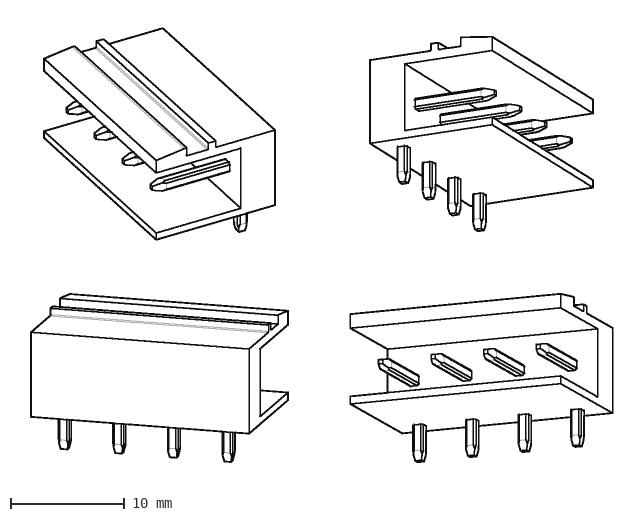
import cadquery as cq


pin_count = 4
pin_pitch = 5.0

housing_length = pin_count * pin_pitch
housing_depth = 12.0
floor_thickness = 0.7
ceiling_height = 6.85
roof_height = 7.7
cavity_depth = 8.55

lip_height = 8.5
lip_front_height = 8.13
lip_depth = 3.1
lip_crest_width = 0.25

rib_front = 5.27
rib_width = 0.75
rib_height = 8.35
rib_root_radius = 0.1

pin_width = 1.0
pin_corner_diameter = 1.18
contact_height = 3.8
contact_tip_y = 0.93
contact_taper_length = 1.2
contact_tip_width = 0.4
tail_y = 9.91
tail_length = 3.2
tail_taper_length = 0.9
tail_tip_width = 0.6


def make_housing():
    rib_back = rib_front + rib_width
    profile = (
        cq.Workplane("YZ")
        .moveTo(0, 0)
        .lineTo(housing_depth, 0)
        .lineTo(housing_depth, roof_height)
        .lineTo(rib_back, roof_height)
        .lineTo(rib_back, rib_height)
        .lineTo(rib_front, rib_height)
        .lineTo(rib_front, roof_height)
        .lineTo(lip_depth, roof_height)
        .lineTo(lip_depth, lip_height)
        .lineTo(lip_depth - lip_crest_width, lip_height)
        .lineTo(0, lip_front_height)
        .lineTo(0, ceiling_height)
        .lineTo(cavity_depth, ceiling_height)
        .lineTo(cavity_depth, floor_thickness)
        .lineTo(0, floor_thickness)
        .close()
    )
    body = profile.extrude(housing_length)
    rib_roots = cq.selectors.BoxSelector(
        (0, rib_front - rib_root_radius, roof_height - rib_root_radius),
        (housing_length, rib_back + rib_root_radius, roof_height + rib_root_radius),
    )
    return body.edges("|X").edges(rib_roots).fillet(rib_root_radius)


def tip_envelope(plane, taper_length, tip_width, full_length):
    """Square pyramid frustum growing from the tip to the full pin width, then a straight bar."""
    taper = (
        cq.Workplane(plane)
        .rect(tip_width, tip_width)
        .workplane(offset=taper_length)
        .rect(pin_width, pin_width)
        .loft(ruled=True)
    )
    bar = (
        cq.Workplane(plane)
        .workplane(offset=taper_length)
        .rect(pin_width, pin_width)
        .extrude(full_length - taper_length)
    )
    return taper.union(bar)


def make_pin(x):
    """Square bar, corners trimmed by a circle, bent at a right angle and tapered at both ends."""
    half_width = pin_width / 2
    contact_length = tail_y + half_width - contact_tip_y
    tail_full_length = tail_length + contact_height + half_width

    contact_plane = cq.Plane(origin=(x, contact_tip_y, contact_height), xDir=(1, 0, 0), normal=(0, 1, 0))
    tail_plane = cq.Plane(origin=(x, tail_y, -tail_length), xDir=(1, 0, 0), normal=(0, 0, 1))

    envelope = tip_envelope(contact_plane, contact_taper_length, contact_tip_width, contact_length).union(
        tip_envelope(tail_plane, tail_taper_length, tail_tip_width, tail_full_length)
    )

    path = (
        cq.Workplane("YZ", origin=(x, 0, 0))
        .moveTo(contact_tip_y, contact_height)
        .lineTo(tail_y, contact_height)
        .lineTo(tail_y, -tail_length)
    )
    section = cq.Sketch().rect(pin_width, pin_width).circle(pin_corner_diameter / 2, mode="i")
    bar = cq.Workplane(contact_plane).placeSketch(section).sweep(path, transition="right")
    return bar.intersect(envelope)


pins = [make_pin((index + 0.5) * pin_pitch) for index in range(pin_count)]

housing = make_housing()
for pin in pins:
    housing = housing.cut(pin)

result = cq.Compound.makeCompound([housing.solids().val(), *[pin.solids().val() for pin in pins]])